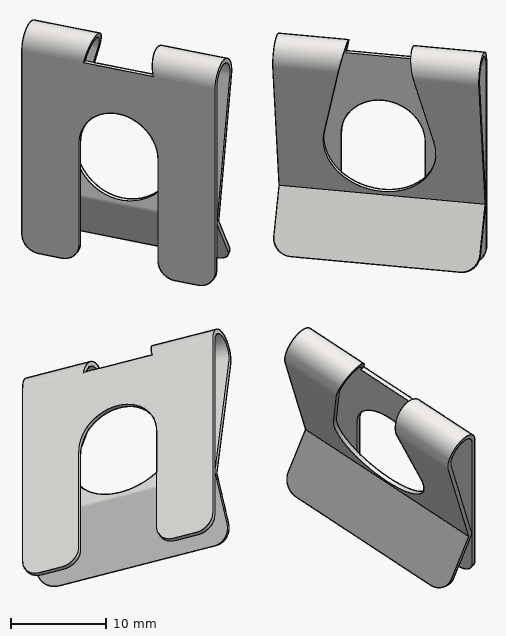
import cadquery as cq
import math


width = 22.0
height = 26.0
depth = 5.0
thickness = 0.5

bend_radius = 2.25
inner_bend_radius = bend_radius - thickness
bend_y = bend_radius
bend_z = height - bend_radius

leaf_angle = math.radians(12.3)
leaf_length = 16.13
lip_angle = math.radians(32.6)
corner_radius = 1.95

slot_width = 9.0
slot_radius = slot_width / 2
opening_center_z = 13.97
hole_radius = 6.0
throat_angle = math.radians(12.6)
clearance = 1.3


def offset(point, direction, distance):
    """Move a (y, z) point along a unit direction."""
    return (point[0] + direction[0] * distance, point[1] + direction[1] * distance)


bend_center = (bend_y, bend_z)
leaf_down = (-math.sin(leaf_angle), -math.cos(leaf_angle))
leaf_back = (math.cos(leaf_angle), -math.sin(leaf_angle))
leaf_front = (-leaf_back[0], -leaf_back[1])
leaf_outer_start = offset(bend_center, leaf_back, bend_radius)
leaf_inner_start = offset(bend_center, leaf_back, inner_bend_radius)
knee = offset(leaf_outer_start, leaf_down, leaf_length)

lip_length = (depth - knee[0]) / math.sin(lip_angle)
lip_down = (math.sin(lip_angle), -math.cos(lip_angle))
lip_front = (-math.cos(lip_angle), -math.sin(lip_angle))
lip_end_back = offset(knee, lip_down, lip_length)
lip_end_front = offset(lip_end_back, lip_front, thickness)

knee_middle_angle = (lip_angle - leaf_angle) / 2
knee_middle = (-math.cos(knee_middle_angle), -math.sin(knee_middle_angle))


def make_bent_strip():
    """Full-width strip bent to the side profile, with rounded lip corners."""
    strip = (
        cq.Workplane("YZ")
        .moveTo(0, 0)
        .lineTo(0, bend_z)
        .threePointArc(offset(bend_center, (0, 1), bend_radius), leaf_outer_start)
        .lineTo(*knee)
        .lineTo(*lip_end_back)
        .lineTo(*lip_end_front)
        .lineTo(*offset(knee, lip_front, thickness))
        .threePointArc(offset(knee, knee_middle, thickness), offset(knee, leaf_front, thickness))
        .lineTo(*leaf_inner_start)
        .threePointArc(offset(bend_center, (0, 1), inner_bend_radius), (thickness, bend_z))
        .lineTo(thickness, 0)
        .close()
        .extrude(width / 2, both=True)
    )
    lip_direction = cq.Vector(0, *lip_front)
    return strip.edges(cq.selectors.ParallelDirSelector(lip_direction)).fillet(corner_radius)


def front_plane(y):
    """Workplane facing -Y at the given depth; extruding by a negative length goes toward +Y."""
    return cq.Workplane("XZ", origin=(0, y, 0))


def make_slot():
    """Round-topped slot through the front plate, open between the feet."""
    return (
        front_plane(0)
        .moveTo(-slot_radius, 0)
        .lineTo(-slot_radius, opening_center_z)
        .threePointArc((0, opening_center_z + slot_radius), (slot_radius, opening_center_z))
        .lineTo(slot_radius, 0)
        .close()
        .extrude(-thickness)
    )


def throat_half_width(z):
    """Half-width between the throat walls, which run tangent to the leaf hole."""
    rise = z - opening_center_z
    return (hole_radius - rise * math.sin(throat_angle)) / math.cos(throat_angle)


def make_throat(bottom_z, start_y):
    """Tapered opening from bottom_z up past the bend, running back from start_y."""
    top_z = height + clearance
    bottom_half = throat_half_width(bottom_z)
    top_half = throat_half_width(top_z)
    return (
        front_plane(start_y)
        .polyline([(-bottom_half, bottom_z), (bottom_half, bottom_z), (top_half, top_z), (-top_half, top_z)])
        .close()
        .extrude(-depth)
    )


def make_leaf_hole():
    """Round hole through the rear leaf only."""
    return front_plane(thickness).center(0, opening_center_z).circle(hole_radius).extrude(-depth)


tangent_z = opening_center_z + hole_radius * math.sin(throat_angle)

result = (
    make_bent_strip()
    .cut(make_slot())
    .edges("|Y")
    .fillet(corner_radius)
    .cut(make_leaf_hole())
    .cut(make_throat(tangent_z, thickness))
    .cut(make_throat(bend_z, 0))
)